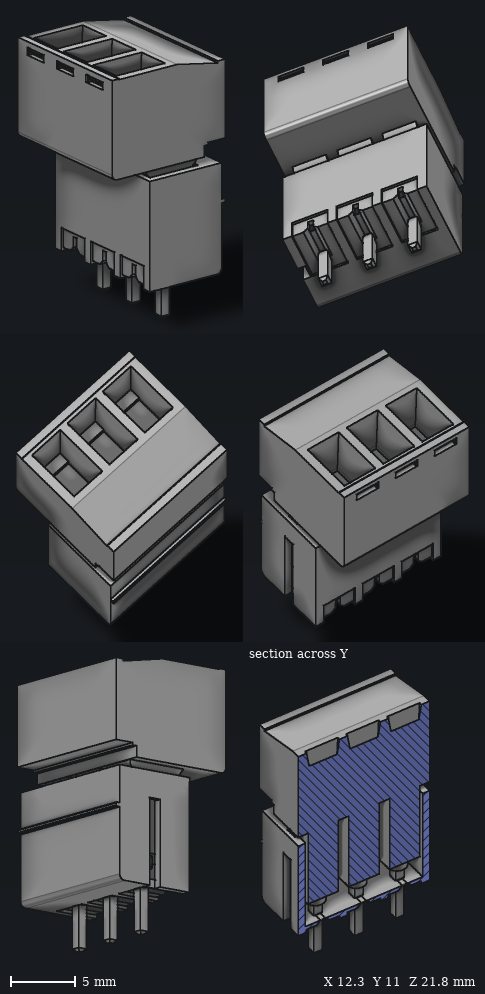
import cadquery as cq


OVERCUT = 0.22

POLE_COUNT = 3
PITCH = 3.8
POLE_X = [(i - (POLE_COUNT - 1) / 2) * PITCH for i in range(POLE_COUNT)]

WIDTH = 12.25
HALF_WIDTH = WIDTH / 2
HEADER_HEIGHT = 9.18
HEADER_FRONT_Y = -2.98
HEADER_BACK_Y = 4.05
CORNER_RADIUS = 0.48
END_WALL = 0.67
FRONT_WALL = 0.57
BACK_WALL = 1.83
LOWER_BACK_WALL = 0.78
FLOOR_TOP_Z = 0.7
CAVITY_FRONT_Y = HEADER_FRONT_Y + FRONT_WALL
CAVITY_BACK_Y = HEADER_BACK_Y - BACK_WALL

KEYWAY_FRONT_Y = -0.05
KEYWAY_BACK_Y = 1.02
KEYWAY_END_WALL = 0.4
END_SLOT_TOP_Z = 7.0

WINDOW_WIDTH = 3.05
WINDOW_HEIGHT = 1.95
WINDOW_DEPTH = 0.2
STANDOFF = 0.28
RELIEF_BACK_Y = 1.02
SLIT_WIDTH = 0.45
SLIT_TOP_Z = 1.55
FLARE_WIDTH = 1.22
FLARE_ROOF = 0.05

PLUG_BACK_Y = 4.4
RIB_HEIGHT = 0.35
RIB_CENTER_Z = 5.98
RIB_CHAMFER = 0.09

PIN_SIZE = 0.8
PIN_LENGTH = 3.4
PIN_TIP_CHAMFER = 0.25

OVERALL_HEIGHT = 21.75
PLUG_HEIGHT = 8.33
PLUG_TOP_Z = OVERALL_HEIGHT - PIN_LENGTH
PLUG_BOTTOM_Z = PLUG_TOP_Z - PLUG_HEIGHT
PLUG_FRONT_Y = -6.63
TOP_LIP = 0.7
TOP_LIP_RISE = 0.07
SLOPE_TOP_Y = -0.3
SLOPE_END_Y = 3.65
SLOPE_END_Z = 17.53
BACK_LIP_Z = 17.7
OVERHANG_Z = 11.14
OVERHANG_STEP = 0.2
OVERHANG_STEP_Y = 2.72
OVERHANG_INNER_Y = 2.35

FUNNEL_FRONT_Y = -5.61
FUNNEL_LENGTH = 4.72
FUNNEL_WIDTH = 3.02
FUNNEL_DRAFT = 0.52
FUNNEL_DEPTH = 3.26
WELL_FRONT_Y = -4.13
WELL_DEPTH = 0.44

POCKET_WIDTH = 2.15
POCKET_TOP_Z = 17.85
POCKET_HEIGHT = 0.63
POCKET_RIM = 0.13
POCKET_RIM_DEPTH = 0.17
POCKET_TOP_DEPTH = 0.22
POCKET_BOTTOM_DEPTH = 0.48
POCKET_UNDERCUT_Z = 17.55

KEY_WIDTH = 2.85
KEY_BOTTOM_Z = 2.83
KEY_BACK_Y = 1.94
KEY_SHOULDER_FRONT_Y = -3.07
KEY_SHOULDER_BACK_Y = 2.26
KEY_ARC_MID_Y = 2.18
KEY_ARC_MID_Z = 9.5
CONTACT_RADIUS = 0.85
CONTACT_BOTTOM_Z = 1.95


def box(x_min, x_max, y_min, y_max, z_min, z_max):
    """Box between two opposite corners."""
    size = (x_max - x_min, y_max - y_min, z_max - z_min)
    return cq.Workplane("XY").box(*size, centered=False).translate((x_min, y_min, z_min))


def centered_box(x, width, y_min, y_max, z_min, z_max):
    """Box centred on x."""
    return box(x - width / 2, x + width / 2, y_min, y_max, z_min, z_max)


def make_shroud():
    """Open-topped housing with rounded lower back edge and hollow inside."""
    shroud = centered_box(0, WIDTH, HEADER_FRONT_Y, HEADER_BACK_Y, 0, HEADER_HEIGHT)
    shroud = shroud.edges("|X and >Y and <Z").fillet(CORNER_RADIUS)
    cavity_width = WIDTH - 2 * END_WALL
    cavity_top = HEADER_HEIGHT + OVERCUT
    cavity = centered_box(0, cavity_width, CAVITY_FRONT_Y, CAVITY_BACK_Y, FLOOR_TOP_Z, cavity_top)
    undercut = centered_box(
        0, cavity_width, CAVITY_BACK_Y, HEADER_BACK_Y - LOWER_BACK_WALL, FLOOR_TOP_Z, KEY_BOTTOM_Z
    )
    return shroud.cut(cavity).cut(undercut)


def make_keyway():
    """Cutter for the keyway inside the -X end wall and the slot through that wall."""
    outer_x = -HALF_WIDTH
    inner_x = outer_x + END_WALL
    groove = box(
        outer_x + KEYWAY_END_WALL, inner_x,
        KEYWAY_FRONT_Y, KEYWAY_BACK_Y, FLOOR_TOP_Z, HEADER_HEIGHT + OVERCUT,
    )
    slot = box(
        outer_x - OVERCUT, inner_x,
        KEYWAY_FRONT_Y, KEYWAY_BACK_Y, -OVERCUT, END_SLOT_TOP_Z,
    )
    return groove.union(slot)


def make_pole_opening(x):
    """Cutter for one pole: window, underside relief, slit, and flared channel to the pin axis."""
    outside_y = HEADER_FRONT_Y - OVERCUT
    window = centered_box(
        x, WINDOW_WIDTH, outside_y, HEADER_FRONT_Y + WINDOW_DEPTH, -OVERCUT, WINDOW_HEIGHT
    )
    relief = centered_box(x, WINDOW_WIDTH, outside_y, RELIEF_BACK_Y, -OVERCUT, STANDOFF)
    roof_z = FLOOR_TOP_Z - FLARE_ROOF
    slit = centered_box(x, SLIT_WIDTH, outside_y, CAVITY_FRONT_Y, roof_z, SLIT_TOP_Z)
    flare = (
        cq.Workplane("XZ", origin=(x, outside_y, 0))
        .moveTo(-FLARE_WIDTH / 2, STANDOFF)
        .lineTo(FLARE_WIDTH / 2, STANDOFF)
        .lineTo(SLIT_WIDTH / 2, roof_z)
        .lineTo(-SLIT_WIDTH / 2, roof_z)
        .close()
        .extrude(outside_y)
    )
    return window.union(relief).union(slit).union(flare)


def make_rib():
    """Full-width rib on the back face, chamfered along its outer edges."""
    half_height = RIB_HEIGHT / 2
    rib = centered_box(
        0, WIDTH, HEADER_BACK_Y, PLUG_BACK_Y, RIB_CENTER_Z - half_height, RIB_CENTER_Z + half_height
    )
    return rib.faces(">Y").edges("|X").chamfer(RIB_CHAMFER)


def make_pin(x):
    """Square pin with a chamfered tip, reaching up to the plug contact."""
    half_size = PIN_SIZE / 2
    pin = centered_box(x, PIN_SIZE, -half_size, half_size, -PIN_LENGTH, CONTACT_BOTTOM_Z)
    return pin.faces("<Z").chamfer(PIN_TIP_CHAMFER)


def make_header():
    """Header body: shroud, pole openings, pins and back rib in one solid."""
    header = make_shroud().cut(make_keyway())
    for x in POLE_X:
        header = header.cut(make_pole_opening(x))
        header = header.union(make_pin(x))
    return header.union(make_rib())


def make_plug_block():
    """Plug housing: its side outline extruded across the full width."""
    shoulder_z = PLUG_TOP_Z - TOP_LIP_RISE
    lip_back_y = PLUG_FRONT_Y + TOP_LIP
    block = (
        cq.Workplane("YZ", origin=(-HALF_WIDTH, 0, 0))
        .moveTo(PLUG_FRONT_Y, PLUG_BOTTOM_Z)
        .lineTo(PLUG_FRONT_Y, PLUG_TOP_Z)
        .lineTo(lip_back_y, PLUG_TOP_Z)
        .lineTo(lip_back_y, shoulder_z)
        .lineTo(SLOPE_TOP_Y, shoulder_z)
        .lineTo(SLOPE_END_Y, SLOPE_END_Z)
        .lineTo(SLOPE_END_Y, BACK_LIP_Z)
        .lineTo(PLUG_BACK_Y, BACK_LIP_Z)
        .lineTo(PLUG_BACK_Y, OVERHANG_Z)
        .lineTo(OVERHANG_STEP_Y, OVERHANG_Z)
        .lineTo(OVERHANG_STEP_Y, OVERHANG_Z - OVERHANG_STEP)
        .lineTo(OVERHANG_INNER_Y, OVERHANG_Z - OVERHANG_STEP)
        .lineTo(OVERHANG_INNER_Y, PLUG_BOTTOM_Z)
        .close()
        .extrude(WIDTH)
    )
    return block.edges("|X and <Y and <Z").fillet(CORNER_RADIUS)


def make_funnel(x):
    """Cutter for a tapered wire opening with a straight well at the back of its floor."""
    mouth_z = PLUG_TOP_Z - TOP_LIP_RISE
    floor_z = mouth_z - FUNNEL_DEPTH
    back_y = FUNNEL_FRONT_Y + FUNNEL_LENGTH
    center_y = (FUNNEL_FRONT_Y + back_y) / 2
    floor_width = FUNNEL_WIDTH - 2 * FUNNEL_DRAFT
    floor_length = FUNNEL_LENGTH - 2 * FUNNEL_DRAFT
    funnel = (
        cq.Workplane("XY", origin=(x, center_y, mouth_z))
        .rect(FUNNEL_WIDTH, FUNNEL_LENGTH)
        .workplane(offset=-FUNNEL_DEPTH)
        .rect(floor_width, floor_length)
        .loft(ruled=True)
    )
    well = centered_box(
        x, floor_width, WELL_FRONT_Y, back_y - FUNNEL_DRAFT, floor_z - WELL_DEPTH, floor_z
    )
    return funnel.union(well)


def make_test_pocket(x):
    """Cutter for a front pocket: a shallow rim, then a narrower recess with an undercut back."""
    bottom_z = POCKET_TOP_Z - POCKET_HEIGHT
    recess_width = POCKET_WIDTH - 2 * POCKET_RIM
    rim = centered_box(
        x, POCKET_WIDTH, PLUG_FRONT_Y, PLUG_FRONT_Y + POCKET_RIM_DEPTH, bottom_z, POCKET_TOP_Z
    )
    recess = (
        cq.Workplane("YZ", origin=(x - recess_width / 2, 0, 0))
        .moveTo(PLUG_FRONT_Y, bottom_z)
        .lineTo(PLUG_FRONT_Y, POCKET_TOP_Z)
        .lineTo(PLUG_FRONT_Y + POCKET_TOP_DEPTH, POCKET_TOP_Z)
        .lineTo(PLUG_FRONT_Y + POCKET_TOP_DEPTH, POCKET_UNDERCUT_Z)
        .lineTo(PLUG_FRONT_Y + POCKET_BOTTOM_DEPTH, bottom_z)
        .close()
        .extrude(recess_width)
    )
    return rim.union(recess)


def make_key(x):
    """Contact key: shouldered blade standing in the header, with a round contact below."""
    blade = (
        cq.Workplane("YZ", origin=(x - KEY_WIDTH / 2, 0, 0))
        .moveTo(KEY_SHOULDER_FRONT_Y, PLUG_BOTTOM_Z)
        .lineTo(CAVITY_FRONT_Y, HEADER_HEIGHT)
        .lineTo(CAVITY_FRONT_Y, KEY_BOTTOM_Z)
        .lineTo(KEY_BACK_Y, KEY_BOTTOM_Z)
        .lineTo(KEY_BACK_Y, HEADER_HEIGHT)
        .threePointArc((KEY_ARC_MID_Y, KEY_ARC_MID_Z), (KEY_SHOULDER_BACK_Y, PLUG_BOTTOM_Z))
        .close()
        .extrude(KEY_WIDTH)
    )
    contact = (
        cq.Workplane("XY", origin=(x, 0, CONTACT_BOTTOM_Z))
        .circle(CONTACT_RADIUS)
        .extrude(KEY_BOTTOM_Z - CONTACT_BOTTOM_Z)
    )
    return blade.union(contact)


def make_plug():
    """Plug body: housing with its funnels and pockets, and the keys below."""
    plug = make_plug_block()
    for x in POLE_X:
        plug = plug.cut(make_funnel(x))
        plug = plug.cut(make_test_pocket(x))
        plug = plug.union(make_key(x))
    return plug


header = make_header()
plug = make_plug()

result = cq.Compound.makeCompound([header.val(), plug.val()])